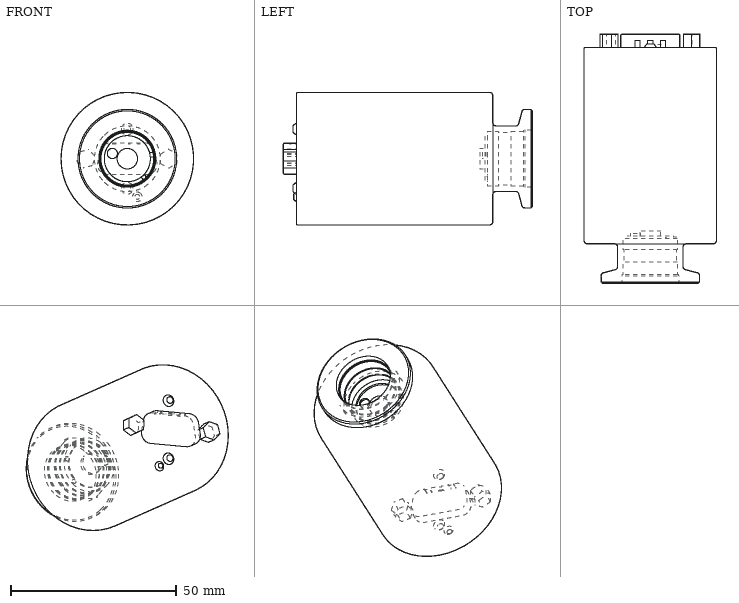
import cadquery as cq
import math

TOTAL_LENGTH = 75.45
BODY_FRONT = 11.9
BODY_BACK = 71.45

BODY_RADIUS = 40.2 / 2
BODY_FRONT_FILLET = 1.05
BODY_BACK_FILLET = 0.45

FLANGE_RADIUS = 14.95
FLANGE_RIM_LENGTH = 3.0
FLANGE_EDGE_CHAMFER = 0.45
FLANGE_RIM_FILLET = 0.9
FLANGE_CONE_ANGLE = 15.0
NECK_RADIUS = 9.95
NECK_BODY_FILLET = 0.9
NECK_FLANGE_FILLET = 0.75

MOUTH_DIAMETER = 17.3
MOUTH_DEPTH = 2.3
MOUTH_CONE_END_DIAMETER = 17.0
SEAT_START = 2.65
SEAT_DIAMETER = 16.6
SEAT_END = 6.4
BORE_DIAMETER = 16.0
CHAMBER_START = 10.2
CHAMBER_DIAMETER = 16.6
BORE_DEPTH = 13.6

RECESS_DIAMETER = 13.95
RECESS_DEPTH = 0.75
CENTER_HOLE_DIAMETER = 6.2
SIDE_HOLE_DIAMETER = 3.1
SIDE_HOLE_X = -4.5
SIDE_HOLE_Z = 1.6
CENTER_HOLE_DEPTH = 1.5
SIDE_HOLE_DEPTH = 0.75
NOTCH_WIDTH = 1.3
NOTCH_Z = 1.2
NOTCH_DEPTH = 0.4
DIMPLE_DIAMETER = 1.3
DIMPLE_DEPTH = 0.7
DIMPLE_RADIUS = 7.4
DIMPLE_ANGLE = -48.0

SHELL_HEIGHT = 9.5
SHELL_CORNER = 3.0
SHELL_FLAT_HALF_WIDTH = 5.35
SHELL_SIDE_ANGLE = 10.0
SHELL_RIM_FILLET = 0.5
DENT_SPACING = 3.85
DENT_WIDTH = 1.6
DENT_LENGTH = 2.1
DENT_DEPTH = 0.3

POST_X = 12.5
POST_DIAMETER = 5.7
LEFT_POST_TURN = 14.0
RIGHT_POST_TURN = 32.0

SCREW_Z = 9.0
SCREW_BASE_DIAMETER = 3.55
SCREW_TOP_DIAMETER = 2.0
SCREW_HEIGHT = 1.05
BUTTON_X = 3.0
BUTTON_Z = -11.55
BUTTON_BASE_DIAMETER = 2.9
BUTTON_TOP_DIAMETER = 1.5
BUTTON_HEIGHT = 0.8
DOME_BULGE = 0.55

BACK_LENGTH = TOTAL_LENGTH - BODY_BACK


def plane_at(y, x=0.0, z=0.0):
    """Workplane facing +Y, with local x along -X and local y along +Z."""
    return cq.Workplane(cq.Plane(origin=(x, y, z), xDir=(-1, 0, 0), normal=(0, 1, 0)))


def disc(diameter, start, length, x=0.0, z=0.0):
    return plane_at(start, x, z).circle(diameter / 2).extrude(length)


def revolve_about_y(profile):
    return profile.close().revolve(360, (0, 0, 0), (0, 1, 0))


def body():
    barrel = disc(2 * BODY_RADIUS, BODY_FRONT, BODY_BACK - BODY_FRONT)
    barrel = barrel.faces("<Y").edges().fillet(BODY_FRONT_FILLET)
    return barrel.faces(">Y").edges().fillet(BODY_BACK_FILLET)


def round_edge_at(part, y, edge_radius, fillet_radius):
    """Fillet the circular edge about the axis at this Y and radius."""
    margin = 0.1
    reach = edge_radius + margin
    edge = cq.selectors.BoxSelector(
        (-reach, y - margin, -reach), (reach, y + margin, reach), boundingbox=True
    )
    return part.edges(edge).fillet(fillet_radius)


def flange_on_body():
    cone_length = (FLANGE_RADIUS - NECK_RADIUS) * math.tan(math.radians(FLANGE_CONE_ANGLE))
    cone_end = FLANGE_RIM_LENGTH + cone_length
    flange = revolve_about_y(
        cq.Workplane("XY")
        .moveTo(0, 0)
        .lineTo(FLANGE_RADIUS - FLANGE_EDGE_CHAMFER, 0)
        .lineTo(FLANGE_RADIUS, FLANGE_EDGE_CHAMFER)
        .lineTo(FLANGE_RADIUS, FLANGE_RIM_LENGTH)
        .lineTo(NECK_RADIUS, cone_end)
        .lineTo(NECK_RADIUS, BODY_FRONT)
        .lineTo(0, BODY_FRONT)
    )
    part = body().union(flange)
    part = round_edge_at(part, FLANGE_RIM_LENGTH, FLANGE_RADIUS, FLANGE_RIM_FILLET)
    part = round_edge_at(part, cone_end, NECK_RADIUS, NECK_FLANGE_FILLET)
    return round_edge_at(part, BODY_FRONT, NECK_RADIUS, NECK_BODY_FILLET)


def bore():
    return revolve_about_y(
        cq.Workplane("XY")
        .moveTo(0, 0)
        .lineTo(MOUTH_DIAMETER / 2, 0)
        .lineTo(MOUTH_DIAMETER / 2, MOUTH_DEPTH)
        .lineTo(MOUTH_CONE_END_DIAMETER / 2, SEAT_START)
        .lineTo(SEAT_DIAMETER / 2, SEAT_START)
        .lineTo(SEAT_DIAMETER / 2, SEAT_END)
        .lineTo(BORE_DIAMETER / 2, SEAT_END)
        .lineTo(BORE_DIAMETER / 2, CHAMBER_START)
        .lineTo(CHAMBER_DIAMETER / 2, CHAMBER_START)
        .lineTo(CHAMBER_DIAMETER / 2, BORE_DEPTH)
        .lineTo(0, BORE_DEPTH)
    )


def bore_floor_details():
    recess_floor = BORE_DEPTH + RECESS_DEPTH
    cuts = disc(RECESS_DIAMETER, BORE_DEPTH, RECESS_DEPTH)
    cuts = cuts.union(disc(CENTER_HOLE_DIAMETER, recess_floor, CENTER_HOLE_DEPTH))
    cuts = cuts.union(
        disc(SIDE_HOLE_DIAMETER, recess_floor, SIDE_HOLE_DEPTH, SIDE_HOLE_X, SIDE_HOLE_Z)
    )

    notch = cq.Workplane("XY").box(
        BORE_DIAMETER / 2, NOTCH_DEPTH, NOTCH_WIDTH, centered=(False, False, True)
    )
    notch = notch.translate((0, BORE_DEPTH, NOTCH_Z)).intersect(
        disc(BORE_DIAMETER, BORE_DEPTH, NOTCH_DEPTH)
    )

    angle = math.radians(DIMPLE_ANGLE)
    center = cq.Vector(
        DIMPLE_RADIUS * math.cos(angle), BORE_DEPTH, DIMPLE_RADIUS * math.sin(angle)
    )
    dimple = cq.Workplane(
        obj=cq.Solid.makeCone(
            DIMPLE_DIAMETER / 2,
            0,
            DIMPLE_DEPTH,
            pnt=center,
            dir=cq.Vector(0, 1, 0),
        )
    )
    return cuts.union(notch).union(dimple)


def connector_shell():
    half_core = SHELL_HEIGHT / 2 - SHELL_CORNER
    widening = 2 * half_core * math.tan(math.radians(SHELL_SIDE_ANGLE))
    low_half_width = SHELL_FLAT_HALF_WIDTH + widening
    shell = (
        plane_at(BODY_BACK)
        .polyline(
            [
                (-SHELL_FLAT_HALF_WIDTH, half_core),
                (SHELL_FLAT_HALF_WIDTH, half_core),
                (low_half_width, -half_core),
                (-low_half_width, -half_core),
            ]
        )
        .close()
        .offset2D(SHELL_CORNER)
        .extrude(BACK_LENGTH)
    )
    shell = shell.faces(">Y").edges().fillet(SHELL_RIM_FILLET)
    for x in (-DENT_SPACING, 0, DENT_SPACING):
        dent = cq.Workplane("XY").box(
            DENT_WIDTH, DENT_LENGTH, DENT_DEPTH, centered=(True, False, False)
        )
        shell = shell.cut(dent.translate((x, BODY_BACK, SHELL_HEIGHT / 2 - DENT_DEPTH)))
    return shell


def jack_post(x, turn):
    post = plane_at(BODY_BACK).polygon(6, POST_DIAMETER).extrude(BACK_LENGTH)
    return post.rotate((0, 0, 0), (0, 1, 0), -turn).translate((x, 0, 0))


def domed_head(base_diameter, top_diameter, height, x, z):
    base = base_diameter / 2
    top = top_diameter / 2
    mid = (top + DOME_BULGE * (base - top), DOME_BULGE * height)
    head = revolve_about_y(
        cq.Workplane("XY")
        .moveTo(0, 0)
        .lineTo(base, 0)
        .threePointArc(mid, (top, height))
        .lineTo(0, height)
    )
    return head.translate((x, BODY_BACK, z))


result = flange_on_body().cut(bore()).cut(bore_floor_details())
result = result.union(connector_shell())
result = result.union(jack_post(-POST_X, LEFT_POST_TURN))
result = result.union(jack_post(POST_X, RIGHT_POST_TURN))
for screw_z in (-SCREW_Z, SCREW_Z):
    result = result.union(
        domed_head(SCREW_BASE_DIAMETER, SCREW_TOP_DIAMETER, SCREW_HEIGHT, 0, screw_z)
    )
result = result.union(
    domed_head(BUTTON_BASE_DIAMETER, BUTTON_TOP_DIAMETER, BUTTON_HEIGHT, BUTTON_X, BUTTON_Z)
)